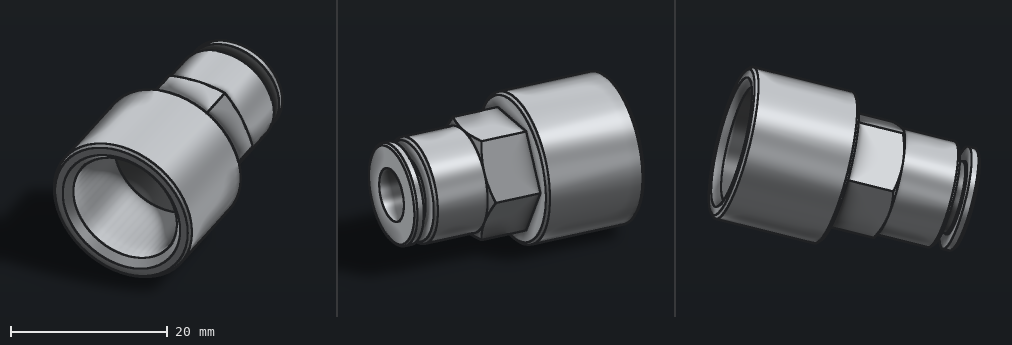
import cadquery as cq
import math


body_radius = 10.0
body_length = 14.0
body_chamfer = 0.4

hex_across_flats = 14.0
hex_length = 7.0
hex_chamfer_angle = 30.0

sleeve_radius = hex_across_flats / 2
sleeve_length = 7.5
sleeve_chamfer = 0.4

lip_radius = 5.4
lip_height = 0.2
neck_radius = 4.7
neck_root_radius = 4.85
neck_root_length = 0.2
neck_length = 1.5
flange_radius = 6.75
flange_thickness = 1.2
flange_chamfer = 0.3

through_radius = 3.5
socket_radius = 7.5
socket_depth = 12.0
socket_chamfer = 1.0
socket_floor_drop = 1.5

hex_start = body_length
hex_end = hex_start + hex_length
sleeve_end = hex_end + sleeve_length
flange_start = sleeve_end + neck_length
total_length = flange_start + flange_thickness


def revolve_profile(points):
    """Revolve a closed outline of (radius, y) points about the Y axis."""
    return cq.Workplane("XY").polyline(points).close().revolve(360, (0, 0), (0, 1))


def make_body():
    return revolve_profile([
        (0, 0),
        (body_radius - body_chamfer, 0),
        (body_radius, body_chamfer),
        (body_radius, body_length - body_chamfer),
        (body_radius - body_chamfer, body_length),
        (0, body_length),
    ])


def make_hexagon():
    """Hexagonal prism whose corners are turned down by a cone at the sleeve end."""
    across_corners = hex_across_flats * 2 / math.sqrt(3)
    corner_radius = across_corners / 2
    envelope_radius = 2 * corner_radius - sleeve_radius
    cone_drop = (corner_radius - sleeve_radius) * math.tan(math.radians(hex_chamfer_angle))
    prism = (
        cq.Workplane("XZ", origin=(0, hex_start, 0))
        .polygon(6, across_corners)
        .extrude(-hex_length)
    )
    envelope = revolve_profile([
        (0, hex_start),
        (envelope_radius, hex_start),
        (envelope_radius, hex_end - 2 * cone_drop),
        (sleeve_radius, hex_end),
        (0, hex_end),
    ])
    return prism.intersect(envelope)


def make_sleeve():
    return revolve_profile([
        (0, hex_end),
        (sleeve_radius, hex_end),
        (sleeve_radius, sleeve_end - sleeve_chamfer),
        (sleeve_radius - sleeve_chamfer, sleeve_end),
        (0, sleeve_end),
    ])


def make_release_collar():
    return revolve_profile([
        (0, sleeve_end),
        (lip_radius, sleeve_end),
        (neck_radius, sleeve_end + lip_height),
        (neck_radius, flange_start - neck_root_length),
        (neck_root_radius, flange_start),
        (flange_radius, flange_start),
        (flange_radius, total_length - flange_chamfer),
        (flange_radius - flange_chamfer, total_length),
        (0, total_length),
    ])


def make_bores():
    """Chamfered socket with a conical floor that runs into the through hole."""
    return revolve_profile([
        (0, 0),
        (socket_radius + socket_chamfer, 0),
        (socket_radius, socket_chamfer),
        (socket_radius, socket_depth),
        (through_radius, socket_depth + socket_floor_drop),
        (through_radius, total_length),
        (0, total_length),
    ])


result = (
    make_body()
    .union(make_hexagon())
    .union(make_sleeve())
    .union(make_release_collar())
    .cut(make_bores())
)